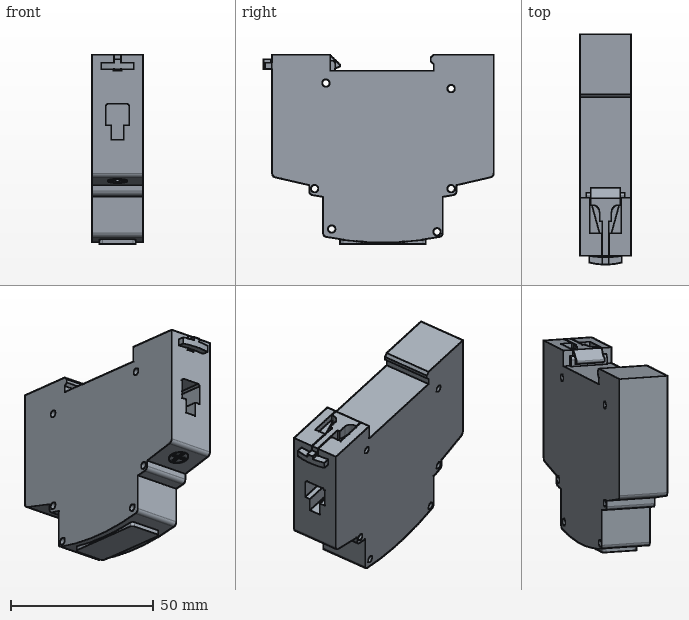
import cadquery as cq
import math


WIDTH = 18.0
HALF_LENGTH = 39.0
TOP_Z = 66.5

RECESS_FLOOR_Z = 60.95
RECESS_BACK_Y = 17.8
RECESS_FRONT_Y = -18.5
NOSE_REACH = 1.05
NOSE_HEIGHT = 3.3

SHOULDER_CORNER_Z = 23.7
SHOULDER_ANGLE = 13.0
STEP_HALF_LENGTH = 25.9
STEP_CORNER_Z = 17.35
STEP_INNER_Z = 16.5
BLOCK_HALF_LENGTH = 21.1
BLOCK_END_Z = 0.5
BLOCK_END_RADIUS = 101.3
CORNER_RADIUS = 1.5

RIVET_DIAMETER = 2.5
RIVET_PLACES = [(24.0, 54.6), (-20.0, 56.6), (24.0, 19.45), (-24.0, 19.45), (19.05, 4.3), (-18.0, 5.3)]

OPENING_WIDTH = 8.35
OPENING_TOP_Z = 49.35
OPENING_STEP_Z = 41.8
OPENING_BOTTOM_Z = 36.7
OPENING_STEM_WIDTH = 4.3
OPENING_CHAMFER = 0.7
OPENING_DEPTH = 9.7

SCREW_DIAMETER = 6.9
SCREW_HEIGHT = 3.25
SCREW_RECESS = 0.365
CROSS_LENGTH = 5.2
CROSS_WIDTH = 1.1
CROSS_DEPTH = 0.8

LATCH_WIDTH = 10.45
LATCH_GAP = 0.25
LATCH_END_Y = -21.15
LATCH_FILLET = 2.4
NECK_WIDTH = 4.2
NECK_END_Y = -26.75
STEM_WIDTH = 2.3
SLOT_END_Y = -30.95
LEDGE_DEPTH = 2.4
LEDGE_START_HALF_WIDTH = 4.8
LEDGE_END_HALF_WIDTH = 2.1
HOOK_TOP_Y = -18.6
HOOK_TIP_Y = -14.6
HOOK_TIP_Z = 62.6
HOOK_HEEL_Z = 61.7
HOOK_RADIUS = 0.53
EAR_SPAN = 13.4
EAR_FRONT_Y = -16.8
EAR_TOP_Z = 64.4
EAR_RADIUS = 1.05

TAB_WIDTH = 11.4
TAB_BOTTOM_Z = 61.4
TAB_TOP_Z = 63.8
RISER_TOP_Z = 65.0
TAB_OUTER_Y = -42.1
TAB_OUTER_SAG = 0.7
TAB_INNER_Y = -39.4

PLATE_WIDTH = 13.0
PLATE_LENGTH = 30.15
PLATE_CORNER_RADIUS = 1.05

SHOULDER_SLOPE = math.tan(math.radians(SHOULDER_ANGLE))
SHOULDER_INNER_Z = SHOULDER_CORNER_Z - (HALF_LENGTH - STEP_HALF_LENGTH) * SHOULDER_SLOPE
BLOCK_CORNER_Z = BLOCK_END_Z + BLOCK_END_RADIUS - math.sqrt(BLOCK_END_RADIUS**2 - BLOCK_HALF_LENGTH**2)


def box(x_range, y_range, z_range):
    """Box between two limits along each axis."""
    size = [high - low for low, high in (x_range, y_range, z_range)]
    return cq.Workplane("XY").box(*size, centered=False).translate((x_range[0], y_range[0], z_range[0]))


def centred(width):
    """Limits of a width centred on X = 0."""
    return (-width / 2, width / 2)


def extrude_across(sketch, width):
    """Extrude a YZ profile symmetrically about X = 0."""
    return sketch.extrude(width / 2, both=True)


def housing_blank():
    """Closed housing outline with rounded lower corners."""
    nose_y = RECESS_BACK_Y - NOSE_REACH
    nose_low_z = TOP_Z - NOSE_HEIGHT
    outline = (
        cq.Workplane("YZ")
        .moveTo(-HALF_LENGTH, TOP_Z)
        .lineTo(RECESS_FRONT_Y, TOP_Z)
        .lineTo(RECESS_FRONT_Y, RECESS_FLOOR_Z)
        .lineTo(RECESS_BACK_Y, RECESS_FLOOR_Z)
        .lineTo(RECESS_BACK_Y, nose_low_z)
        .lineTo(nose_y, nose_low_z + NOSE_REACH)
        .lineTo(nose_y, TOP_Z - NOSE_REACH)
        .lineTo(RECESS_BACK_Y, TOP_Z)
        .lineTo(HALF_LENGTH, TOP_Z)
        .lineTo(HALF_LENGTH, SHOULDER_CORNER_Z)
        .lineTo(STEP_HALF_LENGTH, SHOULDER_INNER_Z)
        .lineTo(STEP_HALF_LENGTH, STEP_CORNER_Z)
        .lineTo(BLOCK_HALF_LENGTH, STEP_INNER_Z)
        .lineTo(BLOCK_HALF_LENGTH, BLOCK_CORNER_Z)
        .threePointArc((0, BLOCK_END_Z), (-BLOCK_HALF_LENGTH, BLOCK_CORNER_Z))
        .lineTo(-BLOCK_HALF_LENGTH, STEP_INNER_Z)
        .lineTo(-STEP_HALF_LENGTH, STEP_CORNER_Z)
        .lineTo(-STEP_HALF_LENGTH, SHOULDER_INNER_Z)
        .lineTo(-HALF_LENGTH, SHOULDER_CORNER_Z)
        .close()
    )
    blank = extrude_across(outline, WIDTH)
    rounded_corners = [
        (HALF_LENGTH, SHOULDER_CORNER_Z),
        (STEP_HALF_LENGTH, STEP_CORNER_Z),
        (BLOCK_HALF_LENGTH, BLOCK_CORNER_Z),
    ]
    for y, z in rounded_corners:
        for side in (-1, 1):
            corner_edge = cq.selectors.NearestToPointSelector((0, side * y, z))
            blank = blank.edges("|X").edges(corner_edge).fillet(CORNER_RADIUS)
    return blank


def rivet_holes():
    """Holes through the whole width."""
    return extrude_across(cq.Workplane("YZ").pushPoints(RIVET_PLACES).circle(RIVET_DIAMETER / 2), WIDTH)


def terminal_opening():
    """Stepped blind opening cut inwards from the -Y face."""
    depth_range = (-HALF_LENGTH, -HALF_LENGTH + OPENING_DEPTH)
    upper = box(centred(OPENING_WIDTH), depth_range, (OPENING_STEP_Z, OPENING_TOP_Z))
    upper = upper.edges("|Y and >Z").chamfer(OPENING_CHAMFER)
    stem = box(centred(OPENING_STEM_WIDTH), depth_range, (OPENING_BOTTOM_Z, OPENING_STEP_Z))
    return upper.union(stem)


def shoulder_plane():
    """Workplane at the middle of the -Y shoulder, its normal pointing into the housing."""
    middle_y = -(HALF_LENGTH + STEP_HALF_LENGTH) / 2
    middle_z = (SHOULDER_CORNER_Z + SHOULDER_INNER_Z) / 2
    angle = math.radians(SHOULDER_ANGLE)
    inward = (0, math.sin(angle), math.cos(angle))
    return cq.Workplane(cq.Plane(origin=(0, middle_y, middle_z), xDir=(1, 0, 0), normal=inward))


def screw_hole():
    """Blind hole that holds the recessed screw."""
    return shoulder_plane().circle(SCREW_DIAMETER / 2).extrude(SCREW_RECESS + SCREW_HEIGHT)


def latch_slot():
    """Slot for the latch, open to the top, to the recess and to the -Y face."""
    height = (RECESS_FLOOR_Z, TOP_Z)
    wide_width = LATCH_WIDTH + 2 * LATCH_GAP
    wide = box(centred(wide_width), (SLOT_END_Y, RECESS_FRONT_Y), height)
    narrow = box(centred(STEM_WIDTH + 2 * LATCH_GAP), (-HALF_LENGTH, SLOT_END_Y), height)
    slot = wide.union(narrow)
    for side in (-1, 1):
        ledge = (
            cq.Workplane("XY", origin=(0, 0, RECESS_FLOOR_Z))
            .moveTo(side * wide_width / 2, LATCH_END_Y)
            .lineTo(side * LEDGE_START_HALF_WIDTH, LATCH_END_Y)
            .lineTo(side * LEDGE_END_HALF_WIDTH, SLOT_END_Y)
            .lineTo(side * wide_width / 2, SLOT_END_Y)
            .close()
            .extrude(TOP_Z - LEDGE_DEPTH - RECESS_FLOOR_Z)
        )
        slot = slot.cut(ledge)
    return slot


def make_housing(blank):
    return blank.cut(rivet_holes()).cut(terminal_opening()).cut(screw_hole()).cut(latch_slot())


def make_screw():
    """Screw head that fills its hole, with a cross recess."""
    face = shoulder_plane().workplane(offset=SCREW_RECESS)
    screw = face.circle(SCREW_DIAMETER / 2).extrude(SCREW_HEIGHT)
    for length, width in ((CROSS_LENGTH, CROSS_WIDTH), (CROSS_WIDTH, CROSS_LENGTH)):
        screw = screw.cut(face.rect(length, width).extrude(CROSS_DEPTH))
    return screw


def make_latch():
    """Latch with a hook over the recess, two stop ears, a filleted neck and a thin stem."""
    height = (RECESS_FLOOR_Z, TOP_Z)
    hook = extrude_across(
        cq.Workplane("YZ")
        .moveTo(LATCH_END_Y, RECESS_FLOOR_Z)
        .lineTo(LATCH_END_Y, TOP_Z)
        .lineTo(HOOK_TOP_Y, TOP_Z)
        .lineTo(HOOK_TIP_Y, HOOK_TIP_Z)
        .lineTo(EAR_FRONT_Y, HOOK_HEEL_Z)
        .lineTo(EAR_FRONT_Y, RECESS_FLOOR_Z)
        .close(),
        LATCH_WIDTH,
    )
    hook = hook.edges("|X and >Y").fillet(HOOK_RADIUS)
    ears = box(centred(EAR_SPAN), (RECESS_FRONT_Y, EAR_FRONT_Y), (RECESS_FLOOR_Z, EAR_TOP_Z))
    ears = ears.edges("|X and >Y and >Z").fillet(EAR_RADIUS)
    neck = box(centred(NECK_WIDTH), (NECK_END_Y, LATCH_END_Y), height)
    stem = box(centred(STEM_WIDTH), (-HALF_LENGTH, NECK_END_Y), height)
    latch = hook.union(neck)
    for side in (-1, 1):
        inner_corner = cq.selectors.NearestToPointSelector(
            (side * NECK_WIDTH / 2, LATCH_END_Y, (RECESS_FLOOR_Z + TOP_Z) / 2)
        )
        latch = latch.edges("|Z").edges(inner_corner).fillet(LATCH_FILLET)
    return latch.union(stem).union(ears)


def make_pull_tab():
    """Bowed bar resting on the -Y face by its ends, with a small riser at its middle."""
    half_width = TAB_WIDTH / 2
    depth_range = (TAB_OUTER_Y, -HALF_LENGTH)
    bowed_block = (
        cq.Workplane("XY", origin=(0, 0, TAB_BOTTOM_Z))
        .moveTo(-half_width, -HALF_LENGTH)
        .threePointArc((0, TAB_INNER_Y), (half_width, -HALF_LENGTH))
        .lineTo(half_width, TAB_OUTER_Y + TAB_OUTER_SAG)
        .threePointArc((0, TAB_OUTER_Y), (-half_width, TAB_OUTER_Y + TAB_OUTER_SAG))
        .close()
        .extrude(RISER_TOP_Z - TAB_BOTTOM_Z)
    )
    bar = box(centred(TAB_WIDTH), depth_range, (TAB_BOTTOM_Z, TAB_TOP_Z))
    riser = box(centred(STEM_WIDTH), depth_range, (TAB_BOTTOM_Z, RISER_TOP_Z))
    return bowed_block.intersect(bar.union(riser))


def make_front_plate(blank):
    """Flat plate fitted against the bowed end of the housing."""
    plate = box(centred(PLATE_WIDTH), centred(PLATE_LENGTH), (0, BLOCK_CORNER_Z))
    return plate.edges("|Z").fillet(PLATE_CORNER_RADIUS).cut(blank)


housing_body = housing_blank()
housing = make_housing(housing_body)
screw = make_screw()
latch = make_latch()
pull_tab = make_pull_tab()
front_plate = make_front_plate(housing_body)

bodies = [housing, screw, latch, pull_tab, front_plate]
result = cq.Compound.makeCompound([body.solids().val() for body in bodies])